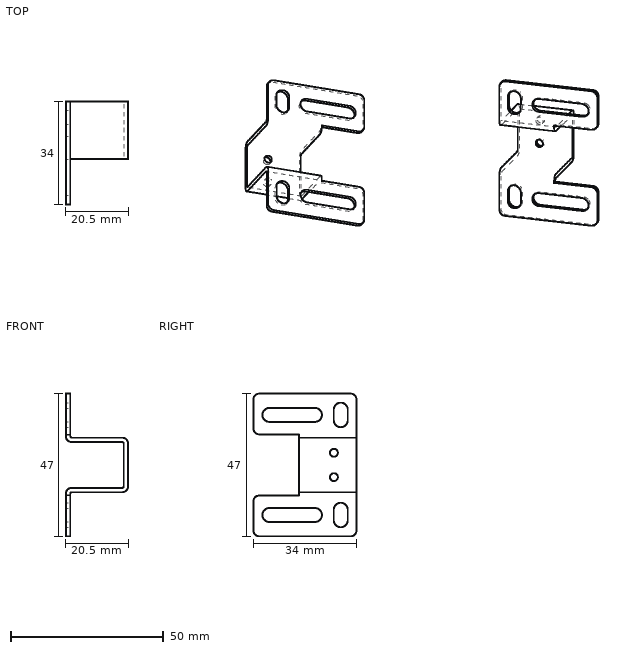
import cadquery as cq

depth = 20.5
width = 34.0
height = 47.0

thickness = 1.5
inner_bend = 0.4
outer_bend = inner_bend + thickness

channel_height = 18.0
channel_width = 19.0
arm_height = 13.5
corner_radius = 2.0

slot_width = 4.5
slot_edge_distance = 7.05
slot_z = height / 2 - slot_edge_distance
short_slot_length = 8.0
short_slot_inset = 5.2
long_slot_length = 19.5
long_slot_inset = 21.2

hole_diameter = 2.55
hole_spacing = 8.0
hole_inset = 7.45

back_y = width / 2
flange_bottom = height / 2 - arm_height
channel_inside = channel_height / 2 - thickness


def make_channel():
    """Bent strip: two flange ends, two walls and the web joining them."""
    wall_outside = channel_inside + thickness
    strip = (
        cq.Workplane("XZ", origin=(0, back_y, 0))
        .moveTo(0, -height / 2)
        .lineTo(thickness, -height / 2)
        .lineTo(thickness, -wall_outside)
        .lineTo(depth, -wall_outside)
        .lineTo(depth, wall_outside)
        .lineTo(thickness, wall_outside)
        .lineTo(thickness, height / 2)
        .lineTo(0, height / 2)
        .lineTo(0, channel_inside)
        .lineTo(depth - thickness, channel_inside)
        .lineTo(depth - thickness, -channel_inside)
        .lineTo(0, -channel_inside)
        .close()
        .extrude(channel_width)
    )

    middle_y = back_y - channel_width / 2
    for x, z, radius in (
        (0, channel_inside, outer_bend),
        (thickness, wall_outside, inner_bend),
        (depth - thickness, channel_inside, inner_bend),
        (depth, wall_outside, outer_bend),
    ):
        for side in (1, -1):
            bend_edge = cq.selectors.NearestToPointSelector((x, middle_y, side * z))
            strip = strip.edges("|Y").edges(bend_edge).fillet(radius)
    return strip


def make_arm(side):
    """Flat arm on the upper (side = 1) or lower (side = -1) flange."""
    middle_z = side * (flange_bottom + arm_height / 2)
    arm = cq.Workplane("XY").box(thickness, width, arm_height)
    return arm.translate((thickness / 2, 0, middle_z))


def slot_cutter(y, z, length, angle):
    return (
        cq.Workplane("YZ", origin=(0, y, z))
        .slot2D(length, slot_width, angle)
        .extrude(thickness)
    )


result = make_channel()
for side in (1, -1):
    result = result.union(make_arm(side))

result = result.faces("<Y").edges("|X").fillet(corner_radius)
for outer_face in (">Z", "<Z"):
    result = result.faces(outer_face).edges("|X and >Y").fillet(corner_radius)

for side in (1, -1):
    result = result.cut(slot_cutter(back_y - short_slot_inset, side * slot_z, short_slot_length, 90))
    result = result.cut(slot_cutter(back_y - long_slot_inset, side * slot_z, long_slot_length, 0))

web_holes = (
    cq.Workplane("YZ", origin=(depth - thickness, back_y - hole_inset, 0))
    .pushPoints([(0, hole_spacing / 2), (0, -hole_spacing / 2)])
    .circle(hole_diameter / 2)
    .extrude(thickness)
)
result = result.cut(web_holes)